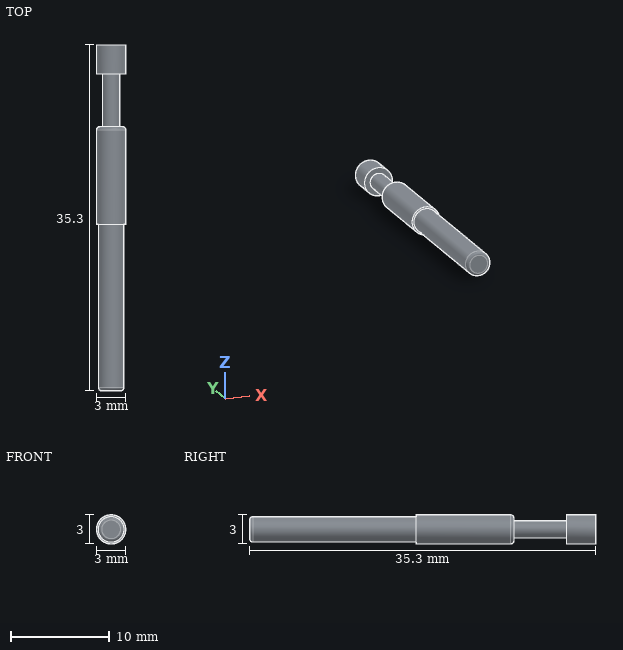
import cadquery as cq

total_length = 35.3

head_diameter = 3.0
head_length = 3.0

neck_diameter = 1.8
neck_length = 5.33

collar_diameter = head_diameter
collar_length = 10.0
collar_round = 0.35

barrel_diameter = 2.6
tip_round = 0.35

tip_y = -total_length / 2
head_face_y = total_length / 2
head_back_y = head_face_y - head_length
collar_front_y = head_back_y - neck_length
collar_back_y = collar_front_y - collar_length


def cylinder_along_y(diameter, start_y, end_y):
    """Solid round bar on the Y axis between two stations."""
    start_plane = cq.Plane(origin=(0, start_y, 0), xDir=(1, 0, 0), normal=(0, 1, 0))
    return cq.Workplane(start_plane).circle(diameter / 2).extrude(end_y - start_y)


barrel = cylinder_along_y(barrel_diameter, tip_y, collar_back_y).faces("<Y").edges().fillet(tip_round)

collar = cylinder_along_y(collar_diameter, collar_back_y, collar_front_y)
collar = collar.faces(">Y").edges().fillet(collar_round)

neck = cylinder_along_y(neck_diameter, collar_front_y, head_back_y)
head = cylinder_along_y(head_diameter, head_back_y, head_face_y)

result = barrel.union(collar).union(neck).union(head)